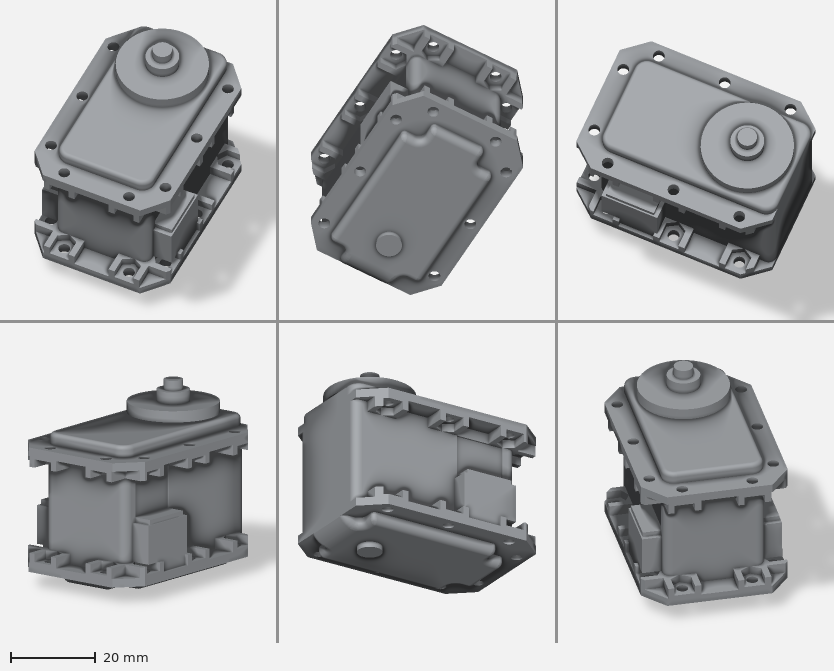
import cadquery as cq
import math


case_width = 24.5
case_length = 45.1
case_bottom = 1.35
case_top = 37.2
case_corner_radius = 2.05
axis_to_back = 12.05
case_side = case_width / 2
case_front = axis_to_back - case_length
mid_height = (case_bottom + case_top) / 2

top_lid_corner_radius = 3.1
top_lid_edge_radius = 1
bottom_lid_edge_radius = 1.5
notch_size = 5.15
notch_outer_radius = 1.05
notch_inner_radius = 2
back_round_radius = 5.6
back_round_run = 4.8

flange_width = 35.6
flange_length = 50.6
flange_side = flange_width / 2
flange_front = axis_to_back - flange_length
flange_corner_x = 5.05
flange_corner_y = 5.95
flange_height = 4.65
flange_plate = 2.05
flange_bottom = 4.15
flange_top = flange_bottom + flange_height
upper_flange_top = 2 * mid_height - flange_bottom
upper_flange_bottom = 2 * mid_height - flange_top

hole_diameter = 2.8
holes_per_side = 3
hole_pitch = 17.0
hole_inset = 2.8
first_hole_y = axis_to_back - 7.5
pad_width = 8.05
pad_reach = 7.6
nut_sides = 6
nut_width = 4.95
nut_floor = 2.65
side_hole_x = flange_side - hole_inset

connector_y = axis_to_back - 35.05
connector_width = 14.4
connector_top = 18.2
connector_side = 16.95
tab_width = 12.35
tab_top = 19.45
tab_side = 16.6
recess_width = 12.7
recess_depth = 0.5

pin_diameter = 6.1
collar_diameter = 10.05
collar_top = 37.85
horn_diameter = 22.05
horn_top = 40.6
hub_diameter = 8.0
hub_top = 43.4
shaft_diameter = 4.6
shaft_top = 45.85


def block(x0, x1, y0, y1, z0, z1):
    """Box between two opposite corners."""
    return cq.Workplane("XY").box(x1 - x0, y1 - y0, z1 - z0, centered=False).translate((x0, y0, z0))


def cylinder(diameter, z0, z1):
    """Upright cylinder on the output axis."""
    return cq.Workplane("XY").workplane(offset=z0).circle(diameter / 2).extrude(z1 - z0)


def case_block(z0, z1):
    """Slice of the case with sharp edges."""
    return block(-case_side, case_side, case_front, axis_to_back, z0, z1)


def both_ends(lower):
    """A lower feature together with its mirror image about the middle of the case."""
    return lower.union(lower.mirror("XY", (0, 0, mid_height)))


def middle_case():
    """Case between the outer faces of the two flanges."""
    return case_block(flange_bottom, upper_flange_top).edges("|Z").fillet(case_corner_radius)


def top_lid():
    """Rounded lid that stands on the outer face of the upper flange."""
    lid = case_block(upper_flange_top, case_top).edges("|Z").fillet(top_lid_corner_radius)
    return lid.faces(">Z").edges().fillet(top_lid_edge_radius)


def bottom_lid():
    """Lid with notched corners and a large round below its back, which the back face cuts short."""
    round_end = axis_to_back + back_round_radius - back_round_run
    inner_x = case_side - notch_size
    inner_front = case_front + notch_size
    inner_back = axis_to_back - notch_size

    wide_part = block(-case_side, case_side, inner_front, inner_back, case_bottom, mid_height)
    long_part = block(-inner_x, inner_x, case_front, round_end, case_bottom, mid_height)
    lid = wide_part.union(long_part)

    around_inner_corners = cq.selectors.BoxSelector(
        (-inner_x - notch_inner_radius, inner_front - notch_inner_radius, case_bottom),
        (inner_x + notch_inner_radius, inner_back + notch_inner_radius, mid_height),
    )
    lid = lid.edges("|Z").edges(around_inner_corners).fillet(notch_inner_radius)
    for outer_face in ("<X", ">X", "<Y"):
        lid = lid.faces(outer_face).edges("|Z").fillet(notch_outer_radius)
    lid = lid.faces(">Y").edges("<Z").fillet(back_round_radius)
    lid = lid.faces("<Z").edges().fillet(bottom_lid_edge_radius)
    return lid.intersect(case_block(case_bottom, flange_bottom))


def flange_blank(height):
    """Flange outline with cut corners, extruded up from the underside."""
    cut_x = flange_side - flange_corner_x
    front_y = flange_front + flange_corner_y
    back_y = axis_to_back - flange_corner_y
    right = [(cut_x, flange_front), (flange_side, front_y), (flange_side, back_y), (cut_x, axis_to_back)]
    left = [(-x, y) for x, y in reversed(right)]
    outline = cq.Workplane("XY").workplane(offset=flange_bottom).polyline(right + left).close()
    return outline.extrude(height)


def hole_sites():
    """Hole positions, each with the angle from +X of the direction out to the flange edge."""
    sites = []
    for row in range(holes_per_side):
        y = first_hole_y - row * hole_pitch
        sites += [(side_hole_x, y, 0), (-side_hole_x, y, 180)]
    for x in (-hole_pitch / 2, hole_pitch / 2):
        sites.append((x, flange_front + hole_inset, -90))
    return sites


def at_sites(shape):
    """Copies of a shape, drawn at the origin facing +X, at every hole."""
    copies = cq.Workplane("XY")
    for x, y, angle in hole_sites():
        copies = copies.add(shape.rotate((0, 0, 0), (0, 0, 1), angle).translate((x, y, 0)))
    return copies.combine()


def lower_flange():
    """Thin plate with a raised pad around every hole, running from the flange edge into the case."""
    half = pad_width / 2
    pad = block(hole_inset - pad_reach, hole_inset, -half, half, flange_bottom, flange_top)
    pads = at_sites(pad).intersect(flange_blank(flange_height))
    return flange_blank(flange_plate).union(pads)


def screw_cuts():
    """Screw holes with hexagonal pockets that point inward and run out to the flange edge."""
    floor = flange_bottom + nut_floor
    across_corners = 2 * nut_width / math.sqrt(3)
    nut = cq.Workplane("XY").polygon(nut_sides, across_corners).extrude(flange_top - floor)
    nut = nut.translate((0, 0, floor))
    run_out = block(0, hole_inset, -nut_width / 2, nut_width / 2, floor, flange_top)
    hole = cylinder(hole_diameter, flange_bottom, flange_top)
    return at_sites(nut.union(run_out).union(hole))


def across(side, width, z0, z1):
    """Block that reaches out to both sides at the connectors."""
    return block(-side, side, connector_y - width / 2, connector_y + width / 2, z0, z1)


def connectors():
    """Connector bodies, each with a narrower tab on top."""
    body = across(connector_side, connector_width, flange_bottom + flange_plate, connector_top)
    return body.union(across(tab_side, tab_width, connector_top, tab_top))


def recesses():
    """Cutter for a shallow recess in each side of the case, from the connector to the upper flange."""
    outer = across(case_side, recess_width, connector_top, upper_flange_bottom)
    kept = across(case_side - recess_depth, recess_width, connector_top, upper_flange_bottom)
    return outer.cut(kept)


def output_stack():
    """Rear pin below the case, and the collar, horn, hub and shaft above it."""
    stack = cylinder(pin_diameter, 0, case_bottom)
    z = case_top
    for diameter, top in (
        (collar_diameter, collar_top),
        (horn_diameter, horn_top),
        (hub_diameter, hub_top),
        (shaft_diameter, shaft_top),
    ):
        stack = stack.add(cylinder(diameter, z, top))
        z = top
    return stack.combine()


case = middle_case().cut(recesses()).union(top_lid()).union(bottom_lid())
body = case.union(both_ends(lower_flange())).union(connectors())
result = body.cut(both_ends(screw_cuts())).union(output_stack())